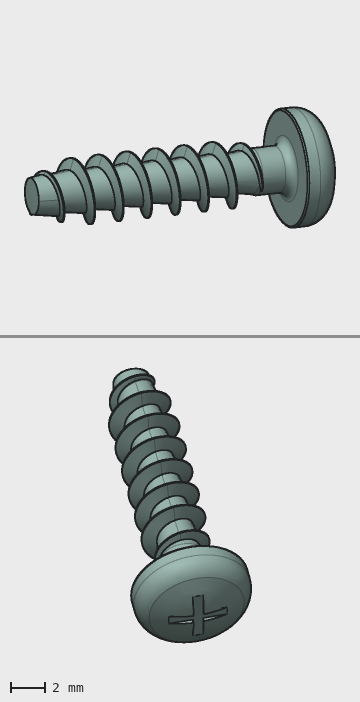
import cadquery as cq
import math


standing_head_height = 2.65
head_radius = 3.497
rim_height = 0.78
corner_inner_radius = 2.83
dome_rise = 0.7
rim_fillet = 0.1
slot_width = 0.62
slot_depth = 0.25
dome_radius = (corner_inner_radius**2 + dome_rise**2) / (2 * dome_rise)
slot_corner_distance = slot_width / math.sqrt(2)
slot_corner_drop = dome_radius - math.sqrt(dome_radius**2 - slot_corner_distance**2)
head_height = standing_head_height + slot_corner_drop

shank_length = 16.0
neck_radius = 1.39
neck_length = 2.0
neck_fillet = 0.56
neck_taper_length = 0.84
tip_point_height = 0.04
tip_radius = 1.08
tip_taper = 0.16
root_radius = 1.14
core_step_radius = 1.36
core_taper = 0.14
core_section_fill = 0.98
buried_radius = 1.03

pitch = 1.79
tip_overrun = 2 * pitch
crest_radius = 2.005
crest_half_width = 0.04
flank_slope = 0.34
full_start_z = 3.46
full_start_angle = 270.0
run_in_turns = 1.0
full_turns = 5.5
run_out_turns = 1.5
run_in_crest_radius = 1.464
run_out_crest_radius = 1.147


def helix(start, end, turns):
    """Right-handed helix edge from (radius, z) start to (radius, z) end, beginning at angle 0."""
    rise = end[1] - start[1]
    if math.isclose(start[0], end[0]):
        wire = cq.Wire.makeHelix(rise / turns, rise, start[0])
    else:
        slant = math.hypot(end[0] - start[0], rise)
        cone_angle = math.degrees(math.atan2(end[0] - start[0], rise))
        wire = cq.Wire.makeHelix(slant / turns, slant, start[0], angle=cone_angle)
    return wire.translate(cq.Vector(0, 0, start[1])).Edges()[0]


def blend(start, end, fraction):
    """Section part of the way from the start section to the end section."""
    return [
        (r0 + fraction * (r1 - r0), z0 + fraction * (z1 - z0))
        for (r0, z0), (r1, z1) in zip(start, end)
    ]


def helical_solid(sections, turns, start_angle):
    """Solid twisted through matching sections, each a list of (radius, z) corners.

    The turns between successive sections are multiples of one half; each half turn gets its own faces.
    """
    stations = [sections[0]]
    for start, end, gap_turns in zip(sections, sections[1:], turns):
        steps = round(2 * gap_turns)
        stations += [blend(start, end, (i + 1) / steps) for i in range(steps)]

    faces = []
    caps = []
    for i, (start, end) in enumerate(zip(stations, stations[1:])):
        angle = start_angle + 180 * i
        edges = [helix(a, b, 0.5).rotate((0, 0, 0), (0, 0, 1), angle) for a, b in zip(start, end)]
        faces += [cq.Face.makeRuledSurface(a, b) for a, b in zip(edges, edges[1:] + edges[:1])]
        caps += [[edge.positionAt(end_parameter) for edge in edges] for end_parameter in (0, 1)]
    for corners in (caps[0], caps[-1]):
        faces.append(cq.Face.makeFromWires(cq.Wire.makePolygon(corners, close=True)))
    return cq.Workplane(cq.Solid.makeSolid(cq.Shell.makeShell(faces)).fix())


def tooth_section(tooth_crest_radius, z):
    """Trapezoidal thread tooth centred on z."""
    base_half_width = crest_half_width + flank_slope * (tooth_crest_radius - buried_radius)
    return [
        (buried_radius, z - base_half_width),
        (tooth_crest_radius, z - crest_half_width),
        (tooth_crest_radius, z + crest_half_width),
        (buried_radius, z + base_half_width),
    ]


def core_section(z):
    """Tapered core between one thread turn, centred on z, and the next."""
    length = core_section_fill * pitch
    return [
        (buried_radius, z),
        (core_step_radius, z),
        (core_step_radius - core_taper * length, z + length),
        (buried_radius, z + length),
    ]


def revolve(profile):
    """Close a (radius, z) outline and turn it about the screw axis."""
    return profile.close().revolve(360, (0, 0, 0), (0, 1, 0)).rotate((0, 0, 0), (1, 0, 0), 90)


def make_blank():
    """Slotted head, neck and plain core rod."""
    half_angle = math.asin(corner_inner_radius / dome_radius) / 2
    dome_middle = (
        dome_radius * math.sin(half_angle),
        -head_height + dome_radius * (1 - math.cos(half_angle)),
    )
    profile = (
        cq.Workplane("XY")
        .moveTo(0, shank_length + tip_overrun)
        .lineTo(root_radius, shank_length + tip_overrun)
        .lineTo(root_radius, neck_length + neck_taper_length)
        .lineTo(neck_radius, neck_length)
        .lineTo(neck_radius, neck_fillet)
        .radiusArc((neck_radius + neck_fillet, 0), -neck_fillet)
        .lineTo(head_radius - rim_fillet, 0)
        .radiusArc((head_radius, -rim_fillet), -rim_fillet)
        .lineTo(head_radius, -rim_height)
        .tangentArcPoint((corner_inner_radius, dome_rise - head_height), relative=False)
        .threePointArc(dome_middle, (0, -head_height))
    )
    body = revolve(profile)
    for angle in (0, 90):
        slot = (
            cq.Workplane("XY")
            .box(2 * head_radius, slot_width, 2 * slot_depth)
            .translate((0, 0, -standing_head_height))
            .rotate((0, 0, 0), (0, 0, 1), angle)
        )
        body = body.cut(slot)
    return body


def make_core_ridge():
    """Stepped taper of the core, starting hidden inside the neck and running past the tip."""
    turns = run_in_turns + full_turns + run_out_turns
    start_z = full_start_z - run_in_turns * pitch
    sections = [core_section(start_z), core_section(start_z + turns * pitch)]
    return helical_solid(sections, [turns], full_start_angle - 360 * run_in_turns)


def make_tip_trim():
    """Ring outside the conical tip of the core."""
    outer_radius = core_step_radius + 0.19
    return revolve(
        cq.Workplane("XY")
        .moveTo(tip_radius - tip_taper * tip_overrun, shank_length + tip_overrun)
        .lineTo(outer_radius, shank_length - (outer_radius - tip_radius) / tip_taper)
        .lineTo(outer_radius, shank_length + tip_overrun)
    )


def make_tip_cutter():
    """Everything beyond the shallow pointed tip face."""
    return revolve(
        cq.Workplane("XY")
        .moveTo(0, shank_length)
        .lineTo(tip_radius, shank_length - tip_point_height)
        .lineTo(head_radius, shank_length - tip_point_height)
        .lineTo(head_radius, 2 * shank_length)
        .lineTo(0, 2 * shank_length)
    )


def make_thread():
    """Thread running in at the neck, at full height along the shank and running out at the tip."""
    turns = [run_in_turns, full_turns, run_out_turns]
    sections = [
        tooth_section(run_in_crest_radius, full_start_z - run_in_turns * pitch),
        tooth_section(crest_radius, full_start_z),
        tooth_section(crest_radius, full_start_z + full_turns * pitch),
        tooth_section(run_out_crest_radius, full_start_z + (full_turns + run_out_turns) * pitch),
    ]
    limits = cq.Workplane("XY").workplane(offset=neck_length).circle(head_radius).extrude(shank_length)
    thread = helical_solid(sections, turns, full_start_angle - 360 * run_in_turns)
    return thread.intersect(limits)


core = make_blank().union(make_core_ridge()).cut(make_tip_trim())
screw = core.union(make_thread()).cut(make_tip_cutter())

result = screw.rotate((0, 0, 0), (1, 0, 0), 90)